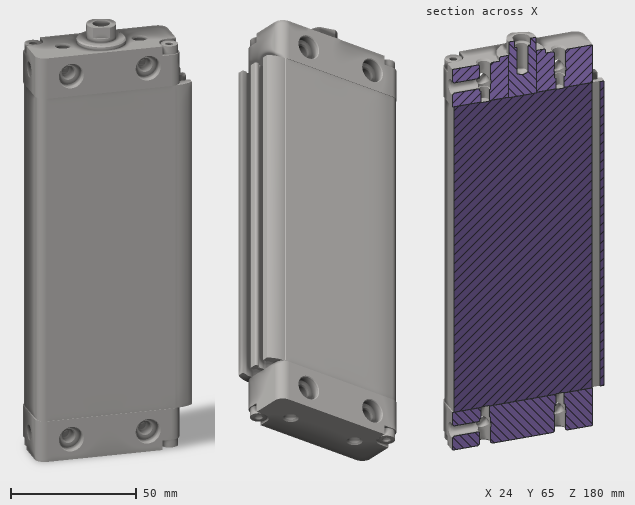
import cadquery as cq
import math

TOTAL_HEIGHT = 180.0
ROD_LENGTH_OUT = 6.0
COLLAR_HEIGHT = 1.9
CAP_HEIGHT = 17.25
FRONT_FACE_Z = TOTAL_HEIGHT - ROD_LENGTH_OUT - COLLAR_HEIGHT
BARREL_BOTTOM_Z = CAP_HEIGHT
BARREL_TOP_Z = FRONT_FACE_Z - CAP_HEIGHT

CAP_WIDTH = 24.0
CAP_DEPTH = 60.0
CORNER_RADIUS = 4.0
CORNER_X = CAP_WIDTH / 2 - CORNER_RADIUS
CORNER_Y = CAP_DEPTH / 2 - CORNER_RADIUS
COLLAR_DIAMETER = 20.0
COLLAR_CHAMFER = 0.5

RECESS_DEPTH = 4.0
RECESS_RADIUS = 4.0
HEAD_DIAMETER = 7.0
HEAD_SINK = 0.5
SOCKET_DIAMETER = 3.0
SOCKET_MOUTH_DIAMETER = 3.5
SOCKET_DEPTH = 2.0

HOLE_OFFSET_Y = 16.0
HOLE_MID_Z = CAP_HEIGHT / 2
HOLE_DIAMETER = 4.92
HOLE_MOUTH_DIAMETER = 6.4
HOLE_DEPTH = 12.0
HOLE_TAIL_DIAMETER = 4.0
PORT_DIAMETER = 4.92
PORT_MOUTH_DIAMETER = 6.4
COUNTERBORE_DIAMETER = 9.73
COUNTERBORE_MOUTH_DIAMETER = 10.4
COUNTERBORE_DEPTH = 4.0
SIDE_HOLE_DIAMETER = 4.92
SIDE_HOLE_MOUTH_DIAMETER = 6.0

BARREL_WIDTH = 23.55
BARREL_FRONT_Y = -29.5
BARREL_CORNER_RADIUS = 3.3
RAIL_TOP_Y = 35.0
LIP_BOTTOM_Y = 33.0
SLOT_FLOOR_Y = 29.5
RAIL_BASE_Y = 27.4
RAIL_STEP = 0.2
RAIL_TOP_OUTER_X = 9.4
RAIL_BULGE = (10.7, 32.7)
LIP_INNER_X = 6.7
SLOT_INNER_X = 7.3
TEE_HEAD_WIDTH = 3.8
TEE_HEAD_RADIUS = 0.8
TEE_STEM_WIDTH = 1.8
TEE_FOOT_RADIUS = 0.8

ROD_DIAMETER = 12.0
ROD_FLATS_WIDTH = 10.0
ROD_FLATS_HEIGHT = 4.4
ROD_FLATS_ANGLE = -15.0
ROD_HOLE_DIAMETER = 4.92
ROD_HOLE_MOUTH_DIAMETER = 6.0
ROD_COUNTERBORE_DIAMETER = 7.0
ROD_COUNTERBORE_DEPTH = 3.0
ROD_HOLE_DEPTH = 12.0

DRILL_HALF_ANGLE = math.radians(59)


def drill(diameter, mouth_diameter, depth, pointed=False):
    """Hole cutter along -Z from the origin, with a 45 degree countersunk mouth."""
    radius = diameter / 2
    mouth_radius = mouth_diameter / 2
    tip = radius / math.tan(DRILL_HALF_ANGLE) if pointed else 0
    outline = cq.Workplane("XZ").moveTo(0, 0).lineTo(mouth_radius, 0)
    outline = outline.lineTo(radius, radius - mouth_radius).lineTo(radius, -depth)
    return outline.lineTo(0, -depth - tip).close().revolve(360, (0, 0), (0, 1))


def cap_screw_corner(cap, side):
    """Cut one corner recess in the outer face and leave a socket screw head standing in it."""
    x = side * CORNER_X
    y = side * CORNER_Y
    floor_z = CAP_HEIGHT - RECESS_DEPTH
    reach = 2 * RECESS_RADIUS
    recess = (
        cq.Workplane("XY", origin=(x, y, floor_z))
        .circle(RECESS_RADIUS).extrude(RECESS_DEPTH)
    )
    for dx, dy in ((1, 0), (0, 1)):
        centre = (x + side * dx * reach / 2, y + side * dy * reach / 2, floor_z)
        recess = recess.union(
            cq.Workplane("XY", origin=centre)
            .rect(reach, reach).extrude(RECESS_DEPTH)
        )
    head_height = RECESS_DEPTH - HEAD_SINK
    head = cq.Workplane("XY", origin=(x, y, floor_z)).circle(HEAD_DIAMETER / 2).extrude(head_height)
    socket = drill(SOCKET_DIAMETER, SOCKET_MOUTH_DIAMETER, SOCKET_DEPTH, pointed=True)
    head_top = (x, y, floor_z + head_height)
    return cap.cut(recess).union(head).cut(socket.translate(head_top))


def end_cap():
    """Cap with its inner face at Z = 0 and its outer face up."""
    cap = cq.Workplane("XY").rect(CAP_WIDTH, CAP_DEPTH).extrude(CAP_HEIGHT)
    cap = cap.edges("|Z").fillet(CORNER_RADIUS)
    for side in (-1, 1):
        cap = cap_screw_corner(cap, side)

    end_hole = drill(HOLE_DIAMETER, HOLE_MOUTH_DIAMETER, HOLE_DEPTH)
    hole_tail = cq.Workplane("XY").circle(HOLE_TAIL_DIAMETER / 2).extrude(-CAP_HEIGHT)
    end_hole = end_hole.union(hole_tail)
    half_width = CAP_WIDTH / 2
    counterbore = drill(COUNTERBORE_DIAMETER, COUNTERBORE_MOUTH_DIAMETER, COUNTERBORE_DEPTH)
    half_hole = drill(SIDE_HOLE_DIAMETER, SIDE_HOLE_MOUTH_DIAMETER, half_width - COUNTERBORE_DEPTH)
    half_hole = half_hole.translate((0, 0, -COUNTERBORE_DEPTH)).union(counterbore)
    half_hole = half_hole.translate((0, 0, half_width))
    for y in (-HOLE_OFFSET_Y, HOLE_OFFSET_Y):
        cap = cap.cut(end_hole.translate((0, y, CAP_HEIGHT)))
        for angle in (-90, 90):
            side_hole = half_hole.rotate((0, 0, 0), (0, 1, 0), angle)
            cap = cap.cut(side_hole.translate((0, y, HOLE_MID_Z)))

    port = drill(PORT_DIAMETER, PORT_MOUTH_DIAMETER, CAP_DEPTH / 2 - HOLE_OFFSET_Y)
    port = port.rotate((0, 0, 0), (1, 0, 0), 90)
    return cap.cut(port.translate((0, -CAP_DEPTH / 2, HOLE_MID_Z)))


def front_cap():
    """End cap with the rod collar and the rod bore."""
    collar = (
        cq.Workplane("XY", origin=(0, 0, FRONT_FACE_Z))
        .circle(COLLAR_DIAMETER / 2).extrude(COLLAR_HEIGHT)
        .faces(">Z").edges().chamfer(COLLAR_CHAMFER)
    )
    bore = (
        cq.Workplane("XY", origin=(0, 0, BARREL_TOP_Z))
        .circle(ROD_DIAMETER / 2).extrude(CAP_HEIGHT + COLLAR_HEIGHT)
    )
    return end_cap().translate((0, 0, BARREL_TOP_Z)).union(collar).cut(bore)


def rear_cap():
    """End cap mirrored so that its outer face is the rear face."""
    return end_cap().mirror("XY").translate((0, 0, CAP_HEIGHT))


def barrel():
    """Solid profile with two hooked rails and a tee rail along its +Y side."""
    length = BARREL_TOP_Z - BARREL_BOTTOM_Z
    half_width = BARREL_WIDTH / 2
    plane = cq.Workplane("XY", origin=(0, 0, BARREL_BOTTOM_Z))
    body_depth = RAIL_BASE_Y - BARREL_FRONT_Y
    body = (
        plane.center(0, RAIL_BASE_Y - body_depth / 2)
        .rect(BARREL_WIDTH, body_depth).extrude(length)
    )
    body = body.edges("|Z and <Y").fillet(BARREL_CORNER_RADIUS)

    floor_height = SLOT_FLOOR_Y - RAIL_BASE_Y
    slot_floor = (
        plane.center(0, RAIL_BASE_Y + floor_height / 2)
        .rect(2 * SLOT_INNER_X, floor_height).extrude(length)
    )

    hook = (
        plane.moveTo(half_width, RAIL_BASE_Y)
        .lineTo(half_width - RAIL_STEP, RAIL_BASE_Y + RAIL_STEP)
        .threePointArc(RAIL_BULGE, (RAIL_TOP_OUTER_X, RAIL_TOP_Y))
        .lineTo(LIP_INNER_X, RAIL_TOP_Y)
        .lineTo(LIP_INNER_X, LIP_BOTTOM_Y)
        .lineTo(SLOT_INNER_X, LIP_BOTTOM_Y)
        .lineTo(SLOT_INNER_X, RAIL_BASE_Y)
        .close().extrude(length)
    )
    head_height = RAIL_TOP_Y - LIP_BOTTOM_Y
    tee_head = (
        plane.center(0, LIP_BOTTOM_Y + head_height / 2)
        .rect(TEE_HEAD_WIDTH, head_height).extrude(length)
        .edges("|Z").fillet(TEE_HEAD_RADIUS)
    )
    stem_x = TEE_STEM_WIDTH / 2
    foot_x = stem_x + TEE_FOOT_RADIUS
    foot_y = SLOT_FLOOR_Y + TEE_FOOT_RADIUS
    arc = TEE_FOOT_RADIUS * (1 - math.sqrt(0.5))
    tee_stem = (
        plane.moveTo(-stem_x, LIP_BOTTOM_Y + TEE_HEAD_RADIUS)
        .lineTo(-stem_x, foot_y)
        .threePointArc((-stem_x - arc, SLOT_FLOOR_Y + arc), (-foot_x, SLOT_FLOOR_Y))
        .lineTo(foot_x, SLOT_FLOOR_Y)
        .threePointArc((stem_x + arc, SLOT_FLOOR_Y + arc), (stem_x, foot_y))
        .lineTo(stem_x, LIP_BOTTOM_Y + TEE_HEAD_RADIUS)
        .close().extrude(length)
    )
    rails = (slot_floor, hook, hook.mirror("YZ"), tee_head, tee_stem)
    for rail in rails:
        body = body.union(rail)
    return body


def piston_rod():
    """Round rod with two wrench flats and a threaded end hole."""
    rod = (
        cq.Workplane("XY", origin=(0, 0, BARREL_TOP_Z))
        .circle(ROD_DIAMETER / 2).extrude(TOTAL_HEIGHT - BARREL_TOP_Z)
    )
    flats_middle_z = TOTAL_HEIGHT - ROD_FLATS_HEIGHT / 2
    for side in (-1, 1):
        flat_cut = (
            cq.Workplane("XY")
            .box(ROD_DIAMETER, ROD_DIAMETER, ROD_FLATS_HEIGHT)
            .translate((side * (ROD_FLATS_WIDTH + ROD_DIAMETER) / 2, 0, flats_middle_z))
            .rotate((0, 0, 0), (0, 0, 1), ROD_FLATS_ANGLE)
        )
        rod = rod.cut(flat_cut)

    hole = drill(ROD_HOLE_DIAMETER, ROD_HOLE_MOUTH_DIAMETER, ROD_HOLE_DEPTH, pointed=True)
    counterbore_floor_z = TOTAL_HEIGHT - ROD_COUNTERBORE_DEPTH
    counterbore = (
        cq.Workplane("XY", origin=(0, 0, counterbore_floor_z))
        .circle(ROD_COUNTERBORE_DIAMETER / 2).extrude(ROD_COUNTERBORE_DEPTH)
    )
    return rod.cut(counterbore).cut(hole.translate((0, 0, counterbore_floor_z)))


result = cq.Compound.makeCompound(
    [front_cap().val(), rear_cap().val(), barrel().val(), piston_rod().val()]
)